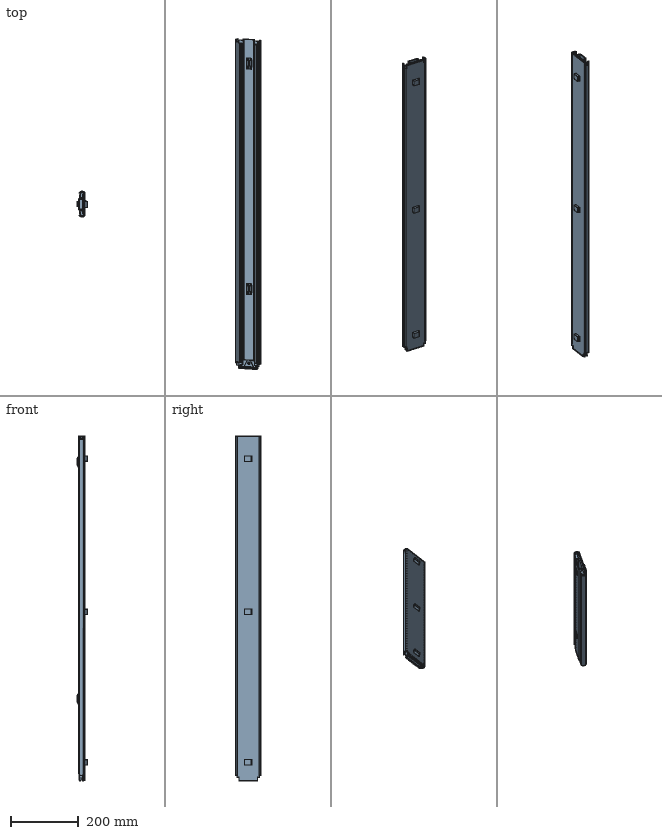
import cadquery as cq
import math


overall_thickness = 30.39
overall_height = 76.19
overall_length = 1016.0
half_height = overall_height / 2
drawer_tab_face = -overall_thickness / 2
cabinet_lug_face = overall_thickness / 2

slide_back = 8.2
outer_web_thickness = 3.0
outer_web_front = slide_back - outer_web_thickness
race_radius = 10.0
race_sheet = 3.2
race_inner_radius = race_radius - race_sheet
race_middle_radius = race_radius - race_sheet / 2
race_x = -0.4
race_y = half_height - race_radius
race_front_angle = -60.0
race_back_angle = 30.0
race_joint_angle = 15.0
outer_web_half = 35.5
outer_bottom = 17.0
race_end_depth = 9.2
race_end_grooves = (-4.6, 1.4)
race_groove_width = 1.6
race_groove_depth = 0.6
tongue_wide_half = 33.7
tongue_wide_bottom = 10.7
tongue_narrow_half = 27.5
tongue_narrow_bottom = 2.5

lug_centers = (950.0, 498.5, 55.0)
lug_length = 16.5
lug_left = -10.4
lug_right = 8.2
lug_foot_right = 11.0
lug_foot_face = 10.7

mid_web_back = 4.4
mid_web_front = 0.6
mid_leg_top = 1004.0
mid_leg_front = -7.6
mid_leg_root_y = 18.2
mid_leg_lip_y = 21.6
mid_leg_step_y = 25.0
mid_leg_step = 1.2
mid_leg_outer = race_y
bead_radius = 5.8

inner_front = -10.9
inner_back = -2.0
inner_bottom = 23.0
inner_sheet = 2.5
inner_half = 16.8
inner_corner = 3.0

drawer_tab_centers = (940.5, 242.5)
drawer_tab_half_width = 7.65
drawer_tab_length = 34.0
drawer_tab_crest = 18.0
tab_window_width = 4.6
tab_window_length = 10.5
ramp_groove_y = 3.4
ramp_groove_width = 2.4
ramp_groove_depth = 1.0

stop_front = -7.6
stop_lip_back = -4.6
stop_lip_top = 3.0
stop_head_top = 9.0
stop_bevel = 7.0
stop_stem_half = 18.0
stop_boss_height = 1.5
stop_boss_bottom_half = 14.0
stop_boss_top_half = 4.6
stop_hole_z = 13.5
stop_hole_diameter = 7.0


def box(x_range, y_range, z_range):
    """Rectangular block between the given limits."""
    size = [limits[1] - limits[0] for limits in (x_range, y_range, z_range)]
    corner = (x_range[0], y_range[0], z_range[0])
    return cq.Workplane("XY").box(*size, centered=False).translate(corner)


def both_sides(half):
    """A shape together with its mirror image across Y = 0."""
    return half.union(half.mirror("XZ"))


def race_point(radius, angle):
    """Point of the +Y raceway at a radius and an angle from the outward Y direction."""
    turn = math.radians(angle)
    return (race_x + radius * math.sin(turn), race_y + radius * math.cos(turn))


def make_raceway():
    """Curved +Y flange of the outer member."""
    middle_angle = (race_front_angle + race_back_angle) / 2
    return (
        cq.Workplane("XY", origin=(0, 0, outer_bottom))
        .moveTo(*race_point(race_radius, race_front_angle))
        .threePointArc(
            race_point(race_radius, middle_angle), race_point(race_radius, race_back_angle)
        )
        .lineTo(*race_point(race_inner_radius, race_back_angle))
        .threePointArc(
            race_point(race_inner_radius, middle_angle),
            race_point(race_inner_radius, race_front_angle),
        )
        .close()
        .extrude(overall_length - outer_bottom)
    )


def make_raceway_grooves():
    """Shallow grooves across the top stretch of the +Y flange, and the line that ends them."""
    groove_start = overall_length - race_end_depth
    skin = (
        cq.Workplane("XY", origin=(race_x, race_y, groove_start))
        .circle(2 * race_radius)
        .circle(race_radius - race_groove_depth)
        .extrude(race_end_depth)
    )
    bands = cq.Workplane("XY")
    for groove_x in race_end_grooves:
        band_x = (groove_x - race_groove_width / 2, groove_x + race_groove_width / 2)
        bands = bands.union(box(band_x, (race_y, half_height), (groove_start, overall_length)))
    cross_band = box(
        (race_x - race_radius, race_x + race_radius),
        (race_y, half_height),
        (groove_start, groove_start + race_groove_width),
    )
    return skin.intersect(bands.union(cross_band))


def make_outer_web():
    """Back web of the outer member, rounded along its long edges, with the stepped tongue."""
    bend_start = race_point(race_radius, race_back_angle)[0]
    corner = slide_back - bend_start
    bend_middle = (
        bend_start + corner * math.sin(math.pi / 4),
        outer_web_half - corner * (1 - math.cos(math.pi / 4)),
    )
    half = (
        cq.Workplane("XY", origin=(0, 0, outer_bottom))
        .moveTo(slide_back, 0)
        .lineTo(slide_back, outer_web_half - corner)
        .threePointArc(bend_middle, (bend_start, outer_web_half))
        .lineTo(*race_point(race_middle_radius, race_joint_angle))
        .lineTo(*race_point(race_inner_radius, race_back_angle))
        .lineTo(outer_web_front, outer_web_half - corner)
        .lineTo(outer_web_front, 0)
        .close()
        .extrude(overall_length - outer_bottom)
    )
    web_x = (outer_web_front, slide_back)
    wide = box(web_x, (-tongue_wide_half, tongue_wide_half), (tongue_wide_bottom, outer_bottom))
    narrow = box(
        web_x,
        (-tongue_narrow_half, tongue_narrow_half),
        (tongue_narrow_bottom, tongue_wide_bottom),
    )
    return both_sides(half).union(wide).union(narrow)


def make_cabinet_lug(center_z):
    """One lug on the back of the outer web, with a low foot on its +Y side."""
    lug_z = (center_z - lug_length / 2, center_z + lug_length / 2)
    lug = box((slide_back, cabinet_lug_face), (lug_left, lug_right), lug_z)
    foot = box((slide_back, lug_foot_face), (lug_left, lug_foot_right), lug_z)
    return lug.union(foot)


def make_outer_member():
    flange = make_raceway().cut(make_raceway_grooves())
    member = make_outer_web().union(both_sides(flange))
    for center_z in lug_centers:
        member = member.union(make_cabinet_lug(center_z))
    return member


def make_leg():
    """+Y leg of the intermediate member, with its leaning inner side and outer bead."""
    length = mid_leg_top - outer_bottom
    plane = cq.Workplane("XY", origin=(0, 0, outer_bottom))
    leg = (
        plane.moveTo(mid_web_back, mid_leg_root_y)
        .lineTo(mid_web_front, mid_leg_root_y)
        .lineTo(mid_leg_front, mid_leg_lip_y)
        .lineTo(mid_leg_front, mid_leg_step_y)
        .lineTo(mid_leg_front + mid_leg_step, mid_leg_step_y)
        .lineTo(mid_leg_front + mid_leg_step, mid_leg_outer)
        .lineTo(mid_web_back, mid_leg_outer)
        .close()
        .extrude(length)
    )
    bead = plane.center(race_x, race_y).circle(bead_radius).extrude(length)
    bead_space = box(
        (race_x - bead_radius, mid_web_back), (race_y, race_y + bead_radius), (outer_bottom, mid_leg_top)
    )
    return leg.union(bead.intersect(bead_space))


def make_intermediate_member():
    web_x = (mid_web_front, mid_web_back)
    web = box(web_x, (-mid_leg_outer, mid_leg_outer), (outer_bottom, overall_length))
    web_end = box(web_x, (-tongue_narrow_half, tongue_narrow_half), (0, outer_bottom))
    return web.union(web_end).union(both_sides(make_leg()))


def make_drawer_tab(center_z):
    """One tab that ramps up to a flat crest, with two grooves down each ramp."""
    half_length = drawer_tab_length / 2
    half_crest = drawer_tab_crest / 2

    def arch(top_x, middle_y, width):
        """Ramped outline of the given height, extruded along Y about its middle."""
        return (
            cq.Workplane("XZ", origin=(0, middle_y + width / 2, center_z))
            .moveTo(inner_front, -half_length)
            .lineTo(top_x, -half_crest)
            .lineTo(top_x, half_crest)
            .lineTo(inner_front, half_length)
            .close()
            .extrude(width)
        )

    tab = arch(drawer_tab_face, 0, 2 * drawer_tab_half_width)
    crest = box(
        (drawer_tab_face, inner_front),
        (-drawer_tab_half_width, drawer_tab_half_width),
        (center_z - half_crest, center_z + half_crest),
    )
    for groove_y in (-ramp_groove_y, ramp_groove_y):
        slot = box(
            (drawer_tab_face, inner_front),
            (groove_y - ramp_groove_width / 2, groove_y + ramp_groove_width / 2),
            (center_z - half_length, center_z + half_length),
        )
        floor = arch(drawer_tab_face + ramp_groove_depth, groove_y, ramp_groove_width)
        tab = tab.cut(slot.cut(crest).cut(floor))
    return tab


def make_drawer_tab_window(center_z):
    """Rectangular window through a drawer tab and the web behind it."""
    return box(
        (drawer_tab_face, inner_front + inner_sheet),
        (-tab_window_width / 2, tab_window_width / 2),
        (center_z - tab_window_length / 2, center_z + tab_window_length / 2),
    )


def make_inner_member():
    length_z = (inner_bottom, overall_length)
    section = box((inner_front, inner_back), (-inner_half, inner_half), length_z)
    section = section.edges("|Z and <X").fillet(inner_corner)
    cavity_half = inner_half - inner_sheet
    cavity = box((inner_front + inner_sheet, inner_back), (-cavity_half, cavity_half), length_z)
    member = section.cut(cavity)
    for center_z in drawer_tab_centers:
        member = member.union(make_drawer_tab(center_z))
        member = member.cut(make_drawer_tab_window(center_z))
    return member


def make_end_stop():
    """Stop with a lip, a bevelled head and a stem that carries a tapered boss with a hole."""
    head_half = tongue_narrow_half
    lip = box((stop_front, stop_lip_back), (-head_half, head_half), (0, stop_lip_top))
    head = box((stop_front, mid_web_front), (-head_half, head_half), (stop_lip_top, stop_head_top))
    head = head.edges("|Z and <X").chamfer(stop_bevel)
    stem = box(
        (stop_front, mid_web_front), (-stop_stem_half, stop_stem_half), (stop_head_top, inner_bottom)
    )
    boss = (
        cq.Workplane("YZ", origin=(stop_front - stop_boss_height, 0, 0))
        .moveTo(-stop_boss_bottom_half, stop_lip_top)
        .lineTo(stop_boss_bottom_half, stop_lip_top)
        .lineTo(stop_boss_top_half, inner_bottom)
        .lineTo(-stop_boss_top_half, inner_bottom)
        .close()
        .extrude(stop_boss_height)
    )
    stop_depth = mid_web_front - stop_front + stop_boss_height
    hole = (
        cq.Workplane("YZ", origin=(stop_front - stop_boss_height, 0, stop_hole_z))
        .circle(stop_hole_diameter / 2)
        .extrude(stop_depth)
    )
    return lip.union(head).union(stem).union(boss).cut(hole)


outer_member = make_outer_member()
intermediate_member = make_intermediate_member()
inner_member = make_inner_member()
end_stop = make_end_stop()

result = cq.Compound.makeCompound(
    [outer_member.val(), intermediate_member.val(), inner_member.val(), end_stop.val()]
)